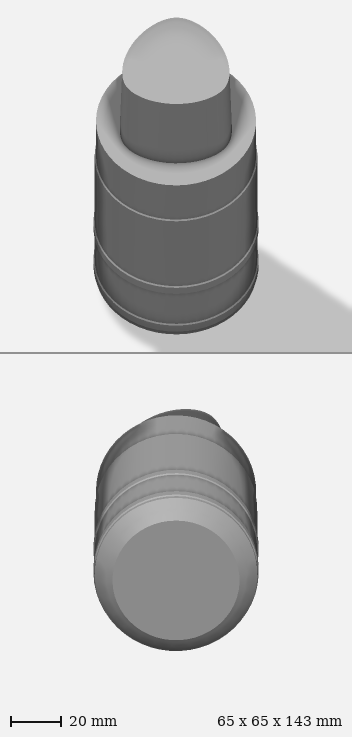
import cadquery as cq
import math

body_height = 105.0
shank_height = 38.0

neck_diameter = 62.98
body_diameter = 64.0
ring_diameter = 65.0
bottom_diameter = 50.0
neck_bottom_z = 82.4
ring_base_heights = (9.0, 34.0)
ring_width = 5.0
ring_chamfer = (ring_diameter - body_diameter) / 2
neck_chamfer = (body_diameter - neck_diameter) / 2
bottom_chamfer = (body_diameter - bottom_diameter) / 2

shank_base_diameter = 44.15
shank_taper = 1 / 20
shank_tip_diameter = shank_base_diameter - shank_taper * shank_height
lobe_eccentricity = 1.4
points_per_lobe = 12
lobe_count = 3


def lobed_point(mean_diameter, angle):
    """Point on a lobed curve of constant width; a lobe points along +X at angle 0."""
    support = mean_diameter / 2 + lobe_eccentricity * math.cos(lobe_count * angle)
    support_slope = -lobe_count * lobe_eccentricity * math.sin(lobe_count * angle)
    x = support * math.cos(angle) - support_slope * math.sin(angle)
    y = support * math.sin(angle) + support_slope * math.cos(angle)
    return x, y


def lobed_outline(mean_diameter):
    """Points around the lobed curve, turned so that one lobe points along -Y."""
    point_count = lobe_count * points_per_lobe
    outline = []
    for i in range(point_count):
        x, y = lobed_point(mean_diameter, 2 * math.pi * i / point_count)
        outline.append((y, -x))
    return outline


def make_body():
    """Round body with a bottom chamfer and a slightly smaller neck at the top."""
    profile = (
        cq.Workplane("XZ")
        .lineTo(bottom_diameter / 2, 0)
        .lineTo(body_diameter / 2, bottom_chamfer)
        .lineTo(body_diameter / 2, neck_bottom_z - neck_chamfer)
        .lineTo(neck_diameter / 2, neck_bottom_z)
        .lineTo(neck_diameter / 2, body_height)
        .lineTo(0, body_height)
        .close()
    )
    return profile.revolve(360, (0, 0, 0), (0, 1, 0))


def make_ring(base_z):
    """Raised band around the body, chamfered down to the body surface."""
    return (
        cq.Workplane("XY")
        .workplane(offset=base_z)
        .circle(ring_diameter / 2)
        .extrude(ring_width)
        .edges()
        .chamfer(ring_chamfer)
    )


def make_shank():
    """Three-lobed shank that narrows from the body face to its tip."""
    return (
        cq.Workplane("XY")
        .workplane(offset=body_height)
        .spline(lobed_outline(shank_base_diameter), periodic=True)
        .close()
        .workplane(offset=shank_height)
        .spline(lobed_outline(shank_tip_diameter), periodic=True)
        .close()
        .loft(ruled=True)
    )


result = make_body().union(make_shank())
for ring_base_z in ring_base_heights:
    result = result.union(make_ring(ring_base_z))